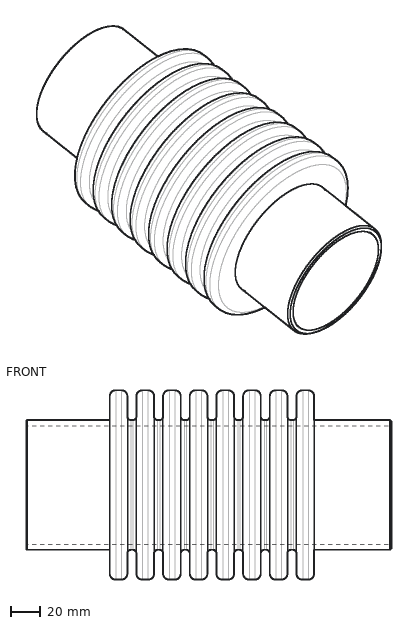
import cadquery as cq

tube_length = 250.0
tube_diameter = 89.0
bore_diameter = 81.0
start_chamfer = 0.5
end_chamfer = 1.2

rib_count = 8
rib_diameter = 129.8
rib_width = 12.2
rib_pitch = 18.2
first_rib_offset = 57.0
crest_radius = 4.2
root_radius = 2.2

tube_start = -tube_length / 2
tube_end = tube_length / 2
bellows_start = tube_start + first_rib_offset
tube_radius = tube_diameter / 2
bore_radius = bore_diameter / 2
rib_radius = rib_diameter / 2
rib_gap = rib_pitch - rib_width


def add_crest(profile, rib_start):
    """Continue the profile up one flank, over the rounded crest and down to the shoulder."""
    rib_end = rib_start + rib_width
    shoulder = rib_radius - crest_radius
    return (
        profile.lineTo(rib_start, shoulder)
        .radiusArc((rib_start + crest_radius, rib_radius), crest_radius)
        .lineTo(rib_end - crest_radius, rib_radius)
        .radiusArc((rib_end, shoulder), crest_radius)
    )


def add_root(profile, gap_start):
    """Continue the profile down a flank and across the filleted root between two ribs."""
    gap_end = gap_start + rib_gap
    flank_foot = tube_radius + root_radius
    return (
        profile.lineTo(gap_start, flank_foot)
        .radiusArc((gap_start + root_radius, tube_radius), -root_radius)
        .lineTo(gap_end - root_radius, tube_radius)
        .radiusArc((gap_end, flank_foot), -root_radius)
    )


section = (
    cq.Workplane("XY")
    .moveTo(tube_start, bore_radius)
    .lineTo(tube_start, tube_radius - start_chamfer)
    .lineTo(tube_start + start_chamfer, tube_radius)
    .lineTo(bellows_start, tube_radius)
)
for rib in range(rib_count):
    rib_start = bellows_start + rib * rib_pitch
    section = add_crest(section, rib_start)
    if rib < rib_count - 1:
        section = add_root(section, rib_start + rib_width)

bellows_end = bellows_start + (rib_count - 1) * rib_pitch + rib_width
section = (
    section.lineTo(bellows_end, tube_radius)
    .lineTo(tube_end - end_chamfer, tube_radius)
    .lineTo(tube_end, tube_radius - end_chamfer)
    .lineTo(tube_end, bore_radius)
    .close()
)

result = section.revolve(360, (0, 0, 0), (1, 0, 0))